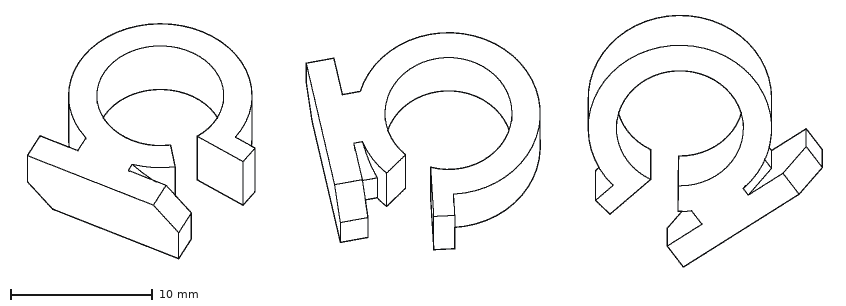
import cadquery as cq
import math

overall_length = 15.56
height = 5.0
outer_radius = 6.5
inner_radius = 4.5
mid_radius = (outer_radius + inner_radius) / 2

base_width = 12.0
stem_width = 6.0
base_thickness = 2.0
corner_cut = 2.0
base_bottom = outer_radius - overall_length
base_top = base_bottom + base_thickness

tab_angle = -8.5
tab_width = 1.5
tab_reach = 8.22
lower_end_angle = -54.0


def polar_point(radius, angle):
    """Point at a radius and an angle in degrees about the ring axis."""
    turn = math.radians(angle)
    return (radius * math.cos(turn), radius * math.sin(turn))


def tab_point(along, across):
    """Point in the tilted frame of the tab, which turns about the ring axis."""
    turn = math.radians(tab_angle)
    x = along * math.cos(turn) - across * math.sin(turn)
    y = along * math.sin(turn) + across * math.cos(turn)
    return (x, y)


def clipped_block(width, y_start, y_end):
    """Block centred on X with its lower left and upper right edges cut at 45 degrees."""
    half = width / 2
    outline = [
        (-half + corner_cut, 0),
        (half, 0),
        (half, height - corner_cut),
        (half - corner_cut, height),
        (-half, height),
        (-half, corner_cut),
    ]
    block = cq.Workplane("XZ").polyline(outline).close().extrude(y_start - y_end)
    return block.translate((0, y_start, 0))


def open_ring():
    """Ring with a gap between the lower end and the underside of the tab."""
    ring = cq.Workplane("XY").circle(outer_radius).circle(inner_radius).extrude(height)
    gap_reach = 2 * outer_radius
    gap_outline = [
        (0, 0),
        polar_point(gap_reach, lower_end_angle),
        tab_point(gap_reach, -tab_width),
        tab_point(inner_radius / 2, -tab_width),
    ]
    gap = cq.Workplane("XY").polyline(gap_outline).close().extrude(height)
    return ring.cut(gap)


def release_tab():
    """Straight tab that starts inside the ring wall and sticks out past it."""
    outline = [
        tab_point(mid_radius, 0),
        tab_point(tab_reach, 0),
        tab_point(tab_reach, -tab_width),
        tab_point(mid_radius, -tab_width),
    ]
    return cq.Workplane("XY").polyline(outline).close().extrude(height)


base = clipped_block(base_width, base_bottom, base_top)
stem = clipped_block(stem_width, base_top, -mid_radius)

result = open_ring().union(release_tab()).union(stem).union(base)